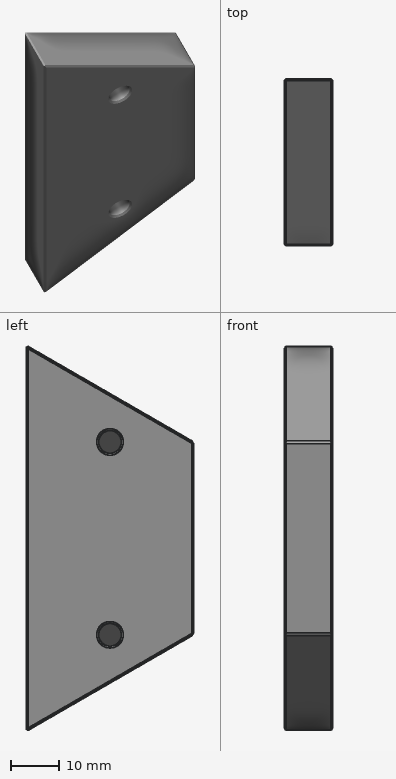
import cadquery as cq
import math

hexagon_side = 40.0
thickness = 10.0
edge_chamfer = 0.4

hole_diameter = 4.7
mouth_chamfer = 0.4
mouth_taper = 45
hole_depth = 8.0
hole_spacing = hexagon_side

half_width = hexagon_side * math.sin(math.radians(60)) / 2
half_thickness = thickness / 2
mouth_diameter = hole_diameter + 2 * mouth_chamfer


def make_plate():
    """Trapezoid with its long side at +Y, all edges chamfered."""
    outline = [
        (half_width, -hexagon_side),
        (half_width, hexagon_side),
        (-half_width, hexagon_side / 2),
        (-half_width, -hexagon_side / 2),
    ]
    plate = cq.Workplane("YZ").polyline(outline).close().extrude(half_thickness, both=True)
    plate = plate.faces("<X or >X").edges().chamfer(edge_chamfer)
    return plate.edges("|X").chamfer(edge_chamfer)


def make_hole(z):
    """Cutter for one blind hole, running from the -X face toward +X."""
    mouth = cq.Workplane("YZ", origin=(-half_thickness, 0, z))
    bore = mouth.circle(hole_diameter / 2).extrude(hole_depth)
    countersink = mouth.circle(mouth_diameter / 2).extrude(mouth_chamfer, taper=mouth_taper)
    return bore.union(countersink)


result = make_plate()
for hole_z in (-hole_spacing / 2, hole_spacing / 2):
    result = result.cut(make_hole(hole_z))